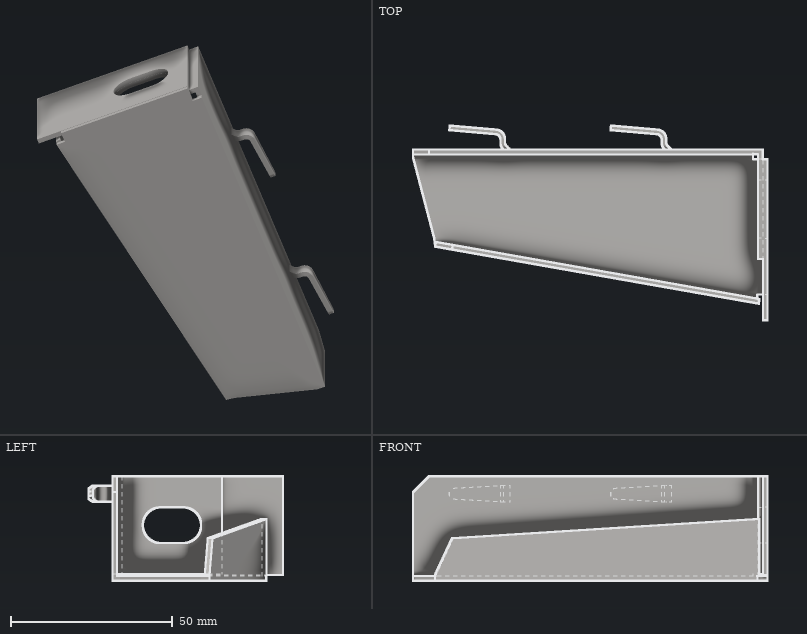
import cadquery as cq
import math

SHEET = 1.5
LENGTH = 110.0
HEIGHT = 32.5
END_X = LENGTH - SHEET
FLANGE_X = END_X - SHEET

CORNER_CHAMFER = 5.0
FLANGE_WIDTH = 34.0
FLANGE_BOTTOM = 2.1
RELIEF_X = FLANGE_X - SHEET
PLATE_START = 3.0
PLATE_WIDTH = 50.0
PLATE_BOTTOM = 1.75
SLOT_LENGTH = 18.0
SLOT_HEIGHT = 11.0
PLATE_SLOT_CLEARANCE = 0.1
SLOT_Y = -18.5
SLOT_Z = 17.25

FLOOR_CORNER_Y = -2.4
FLOOR_FRONT_X = 6.55
FLOOR_FRONT_Y = -27.4
FLOOR_TAB_Y = -45.0
FLOOR_NOTCH_X = 106.85

WALL_ANGLE = 10.0
WALL_START = (6.9, -30.15)
WALL_LENGTH = 101.9
WALL_CUT_LENGTH = 5.3
WALL_CUT_START = 2.0
WALL_LOW_HEIGHT = 13.2
WALL_HIGH_HEIGHT = 19.2

HOOK_PITCH = 50.0
HOOK_COUNT = 2
HOOK_TIP_X = 11.4
HOOK_REACH = 7.46
HOOK_ANGLE = 5.0
HOOK_NECK_X = 28.6
HOOK_NECK_Y = 1.55
HOOK_FOOT_ANGLE = 45.0
HOOK_BEND = 1.5
HOOK_BOTTOM = 24.5
HOOK_WIDTH = 5.0
HOOK_TIP_WIDTH = 3.2
HOOK_TAPER_X = 26.8
HOOK_TIP_RADIUS = 1.5


def box(x, y, z):
    """Box from (low, high) pairs along each axis."""
    size = [high - low for low, high in (x, y, z)]
    return cq.Workplane("XY").box(*size, centered=False).translate((x[0], y[0], z[0]))


def back_wall():
    return (
        cq.Workplane("XZ")
        .moveTo(0, 0)
        .lineTo(RELIEF_X, 0)
        .lineTo(RELIEF_X, FLANGE_BOTTOM)
        .lineTo(END_X, FLANGE_BOTTOM)
        .lineTo(END_X, HEIGHT)
        .lineTo(CORNER_CHAMFER, HEIGHT)
        .lineTo(0, HEIGHT - CORNER_CHAMFER)
        .close()
        .extrude(SHEET)
    )


def floor():
    slope = math.tan(math.radians(WALL_ANGLE))
    notch_y = WALL_START[1] - slope * (FLOOR_NOTCH_X - WALL_START[0])
    outline = [
        (0, 0),
        (0, FLOOR_CORNER_Y),
        (FLOOR_FRONT_X, FLOOR_FRONT_Y),
        WALL_START,
        (FLOOR_NOTCH_X, notch_y),
        (FLOOR_NOTCH_X, FLOOR_TAB_Y),
        (LENGTH, FLOOR_TAB_Y),
        (LENGTH, -PLATE_START),
        (RELIEF_X, -PLATE_START),
        (RELIEF_X, 0),
    ]
    return cq.Workplane("XY").polyline(outline).close().extrude(SHEET)


def front_wall():
    outline = [
        (0, SHEET),
        (0, WALL_CUT_START),
        (WALL_CUT_LENGTH, WALL_LOW_HEIGHT),
        (WALL_LENGTH, WALL_HIGH_HEIGHT),
        (WALL_LENGTH, SHEET),
    ]
    wall = cq.Workplane("XZ").polyline(outline).close().extrude(-SHEET)
    return wall.rotate((0, 0, 0), (0, 0, 1), -WALL_ANGLE).translate((*WALL_START, 0))


def slot_cutter(start_x, clearance):
    """Slot through one sheet thickness, enlarged all round by the clearance."""
    return (
        cq.Workplane("YZ", origin=(start_x, 0, 0))
        .center(SLOT_Y, SLOT_Z)
        .slot2D(SLOT_LENGTH + 2 * clearance, SLOT_HEIGHT + 2 * clearance)
        .extrude(SHEET)
    )


def end_plates():
    flange = box((FLANGE_X, END_X), (-FLANGE_WIDTH, 0), (FLANGE_BOTTOM, HEIGHT))
    plate = box((END_X, LENGTH), (-PLATE_START - PLATE_WIDTH, -PLATE_START), (PLATE_BOTTOM, HEIGHT))
    flange = flange.cut(slot_cutter(FLANGE_X, 0))
    plate = plate.cut(slot_cutter(END_X, PLATE_SLOT_CLEARANCE))
    return flange.union(plate)


def hook_plan(tip_x):
    """Tapered outline of the hook with a rounded tip, extruded over its full reach."""
    middle = HOOK_WIDTH / 2
    root_x = HOOK_NECK_X + 2 * HOOK_NECK_Y
    outline = [
        (tip_x, middle - HOOK_TIP_WIDTH / 2),
        (HOOK_TAPER_X, 0),
        (root_x, 0),
        (root_x, HOOK_WIDTH),
        (HOOK_TAPER_X, HOOK_WIDTH),
        (tip_x, middle + HOOK_TIP_WIDTH / 2),
    ]
    plan = cq.Workplane("XZ").polyline(outline).close().extrude(-HOOK_REACH)
    return plan.edges("<X and |Y").fillet(HOOK_TIP_RADIUS)


def hook():
    """Bent strip: leaning foot, upright neck and a slightly rising arm."""
    angle = math.radians(HOOK_ANGLE)
    slope = math.tan(angle)
    inner_x = HOOK_NECK_X - SHEET
    tip_low = (HOOK_TIP_X - SHEET * math.sin(angle), HOOK_REACH - SHEET * math.cos(angle))
    mitre = SHEET * math.tan(math.radians(HOOK_FOOT_ANGLE / 2))
    foot_lean = math.tan(math.radians(HOOK_FOOT_ANGLE))
    foot_y = HOOK_NECK_Y - mitre
    inner_bend = (inner_x, tip_low[1] - slope * (inner_x - tip_low[0]))
    outer_bend = (HOOK_NECK_X, HOOK_REACH - slope * (HOOK_NECK_X - HOOK_TIP_X))
    outline = [
        (HOOK_TIP_X, HOOK_REACH),
        outer_bend,
        (HOOK_NECK_X, HOOK_NECK_Y),
        (HOOK_NECK_X + foot_lean * HOOK_NECK_Y, 0),
        (inner_x + foot_lean * foot_y, 0),
        (inner_x, foot_y),
        inner_bend,
        tip_low,
    ]
    strip = cq.Workplane("XY").polyline(outline).close().extrude(HOOK_WIDTH)

    def edge_at(point):
        return cq.selectors.NearestToPointSelector((*point, HOOK_WIDTH / 2))

    inner_folds = (inner_bend, (HOOK_NECK_X, HOOK_NECK_Y))
    outer_folds = (outer_bend, (inner_x, foot_y))
    for point in inner_folds:
        strip = strip.edges(edge_at(point)).fillet(HOOK_BEND)
    for point in outer_folds:
        strip = strip.edges(edge_at(point)).fillet(HOOK_BEND + SHEET)
    return strip.intersect(hook_plan(tip_low[0])).translate((0, 0, HOOK_BOTTOM))


result = back_wall().union(floor()).union(front_wall()).union(end_plates())
for index in range(HOOK_COUNT):
    result = result.union(hook().translate((index * HOOK_PITCH, 0, 0)))